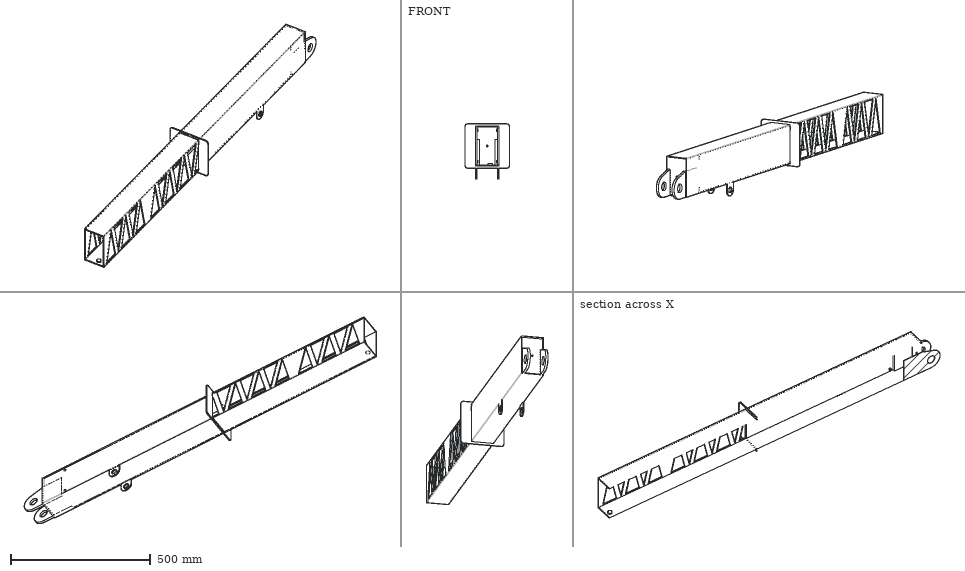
import cadquery as cq
import math

length = 1455.0
flange_size = 160.0
total_height = 198.0

beam_width = 83.0
flange_overhang = 8.3
beam_height = flange_size - 2 * flange_overhang
wall = 4.1
beam_corner_radius = 1.0
front_y = -length / 2
beam_rear_y = 647.0
beam_length = beam_rear_y - front_y
top_z = total_height / 2
beam_top_z = top_z - flange_overhang
beam_bottom_z = beam_top_z - beam_height
beam_mid_z = (beam_top_z + beam_bottom_z) / 2

flange_thickness = 5.0
flange_rear_y = -77.0
flange_front_y = flange_rear_y - flange_thickness
flange_corner_radius = 10.0

upright_count = 7
strut_width = 20.0
window_pitch = (flange_rear_y - front_y) / (upright_count - 0.5)
window_half_base = window_pitch / 2 - strut_width
window_height = 131.0
solid_bay = 3

end_hole_diameter = 4.5

rear_lug_thickness = 9.0
rear_lug_diameter = 80.0
rear_lug_radius = rear_lug_diameter / 2
rear_lug_hole_diameter = 30.0
rear_lug_root_height = 96.0
rear_lug_insertion = 80.0
rear_lug_y = length / 2 - rear_lug_radius
rear_lug_z = beam_bottom_z + rear_lug_radius

lower_lug_radius = 22.0
lower_lug_hole_diameter = 20.0
lower_lug_y = 340.0
lower_lug_z = top_z - total_height + lower_lug_radius

stop_pin_diameter = 9.0
stop_pin_length = 5.0
stop_pin_offset_z = 57.0
stop_pin_clearance = 15.0
stop_pin_y = beam_rear_y - rear_lug_insertion - stop_pin_clearance

stud_diameter = 16.0
stud_height = 5.0
stud_x = 10.0
stud_setback = 16.0
stud_y = front_y + stud_setback


def side_plate(outline, x_start, thickness):
    """Extrude a (Y, Z) outline along +X from x_start."""
    return outline.extrude(thickness).translate((x_start, 0, 0))


def beam_envelope(depth):
    """Solid bar with the beam's lightly rounded outer section, running from Y = 0."""
    bar = cq.Workplane("XY").box(beam_width, depth, beam_height, centered=(True, False, True))
    return bar.edges("|Y").fillet(beam_corner_radius)


def make_beam():
    """Rectangular tube, open at the front and closed by a plate at the rear."""
    bore = cq.Workplane("XY").box(
        beam_width - 2 * wall, beam_length - wall, beam_height - 2 * wall, centered=(True, False, True)
    )
    return beam_envelope(beam_length).cut(bore).translate((0, front_y, beam_mid_z))


def make_flange():
    """Rounded square plate with an opening that fits the beam."""
    plate = (
        cq.Workplane("XY")
        .box(flange_size, flange_thickness, flange_size, centered=(True, False, True))
        .edges("|Y")
        .fillet(flange_corner_radius)
    )
    return plate.cut(beam_envelope(flange_thickness)).translate((0, flange_front_y, beam_mid_z))


def make_window(apex_y, direction):
    """Triangular cutter through both side walls; direction is +1 for apex up, -1 for apex down."""
    base_z = beam_mid_z - direction * window_height / 2
    apex_z = beam_mid_z + direction * window_height / 2
    outline = cq.Workplane("YZ").polyline(
        [(apex_y - window_half_base, base_z), (apex_y + window_half_base, base_z), (apex_y, apex_z)]
    ).close()
    return side_plate(outline, -beam_width, 2 * beam_width)


def cut_windows(body):
    """Alternate upright and inverted triangles, all kept ahead of the flange's rear face."""
    region_length = flange_rear_y - front_y
    lattice_region = (
        cq.Workplane("XY")
        .box(beam_width, region_length, beam_height, centered=(True, False, True))
        .translate((0, front_y, beam_mid_z))
    )
    for bay in range(1, upright_count + 1):
        apex_y = front_y + (bay - 0.5) * window_pitch
        body = body.cut(make_window(apex_y, 1).intersect(lattice_region))
        if bay not in (solid_bay, upright_count):
            body = body.cut(make_window(apex_y + window_pitch / 2, -1))
    return body


def make_rear_lug(x_start):
    """Plate with a round eye, a flat bottom and a top edge tangent to the eye."""
    root_z = beam_bottom_z + rear_lug_root_height
    dy = rear_lug_y - beam_rear_y
    dz = root_z - rear_lug_z
    tangent_angle = math.atan2(dz, -dy) - math.acos(rear_lug_radius / math.hypot(dy, dz))
    inner_y = beam_rear_y - rear_lug_insertion
    floor_z = beam_bottom_z
    outline = (
        cq.Workplane("YZ")
        .moveTo(inner_y, floor_z)
        .lineTo(rear_lug_y, floor_z)
        .threePointArc(
            (rear_lug_y + rear_lug_radius, rear_lug_z),
            (
                rear_lug_y + rear_lug_radius * math.cos(tangent_angle),
                rear_lug_z + rear_lug_radius * math.sin(tangent_angle),
            ),
        )
        .lineTo(beam_rear_y, root_z)
        .lineTo(inner_y, root_z)
        .close()
        .moveTo(rear_lug_y, rear_lug_z)
        .circle(rear_lug_hole_diameter / 2)
    )
    return side_plate(outline, x_start, rear_lug_thickness)


def make_lower_lug(x_start):
    """Wall-thick tab with a round lower end and a cross hole."""
    outline = (
        cq.Workplane("YZ")
        .moveTo(lower_lug_y - lower_lug_radius, beam_bottom_z + wall)
        .lineTo(lower_lug_y - lower_lug_radius, lower_lug_z)
        .threePointArc(
            (lower_lug_y, lower_lug_z - lower_lug_radius), (lower_lug_y + lower_lug_radius, lower_lug_z)
        )
        .lineTo(lower_lug_y + lower_lug_radius, beam_bottom_z + wall)
        .close()
        .moveTo(lower_lug_y, lower_lug_z)
        .circle(lower_lug_hole_diameter / 2)
    )
    return side_plate(outline, x_start, wall)


def make_stop_pin(x_start, z):
    """Short round pin along X on a side wall."""
    outline = cq.Workplane("YZ").center(stop_pin_y, z).circle(stop_pin_diameter / 2)
    return side_plate(outline, x_start, stop_pin_length)


def make_arm():
    """Beam with its flange, lugs, stop pins and end hole as one solid."""
    arm = cut_windows(make_beam()).union(make_flange())
    half = beam_width / 2
    for x in (-half + wall, half - wall - rear_lug_thickness):
        arm = arm.union(make_rear_lug(x))
    for x in (-half, half - wall):
        arm = arm.union(make_lower_lug(x))
    for x in (-half + wall, half - wall - stop_pin_length):
        for offset_z in (-stop_pin_offset_z, stop_pin_offset_z):
            arm = arm.union(make_stop_pin(x, beam_mid_z + offset_z))
    end_hole = (
        cq.Workplane("XZ", origin=(0, beam_rear_y + wall, beam_mid_z))
        .circle(end_hole_diameter / 2)
        .extrude(3 * wall)
    )
    return arm.cut(end_hole)


def make_stud():
    """Low round stud standing on the beam floor."""
    return (
        cq.Workplane("XY", origin=(stud_x, stud_y, beam_bottom_z + wall))
        .circle(stud_diameter / 2)
        .extrude(stud_height)
    )


arm = make_arm()
stud = make_stud()
result = cq.Compound.makeCompound([arm.val(), stud.val()])